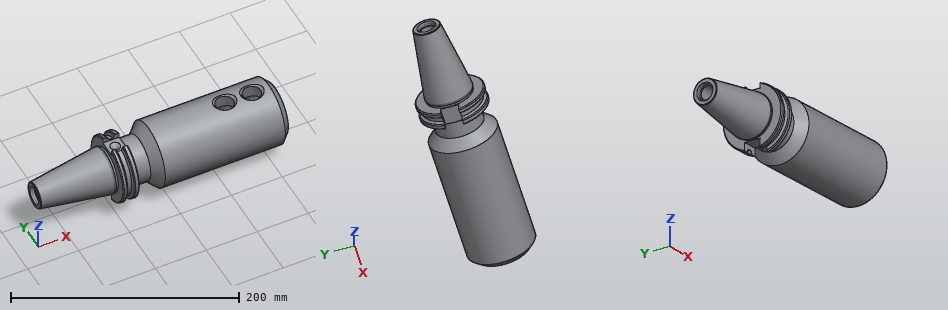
import cadquery as cq

total_length = 236.6
taper_end = 67.7
relief_start = 69.0
flange_start = 71.5
flange_end = 87.5
neck_end = 103.2
body_start = 112.6
body_chamfer_start = 230.5

nose_diameter = 25.3
taper_diameter = 44.5
relief_diameter = 43.5
body_diameter = 63.5
front_diameter = 51.0
nose_chamfer = 0.7

flange_edge_chamfer = 1.0
groove_diameter = 56.3
groove_floor_start = 77.5
groove_floor_end = 81.5
groove_side_run = 1.0
groove_mouth_start = 76.0
groove_mouth_end = 82.5

slot_width = 16.5
upper_slot_height = 25.3
lower_slot_height = taper_diameter / 2
dimple_diameter = 9.5
dimple_depth = 2.8

through_diameter = 13.5
counterbore_diameter = 16.3
counterbore_depth = 4.0
nose_mouth_diameter = 17.3
nose_taper_depth = 2.0
shank_bore_diameter = 38.0
shank_bore_mouth_diameter = 39.3
shank_bore_depth = 78.0

screw_positions = (187.0, 213.7)
screw_diameter = 17.3
screw_mouth_diameter = 22.0


def revolved_about_x(profile):
    """Revolve (x, diameter) points, closed along the X axis."""
    points = [(x, diameter / 2) for x, diameter in profile]
    points = [(points[0][0], 0)] + points + [(points[-1][0], 0)]
    return cq.Workplane("XY").polyline(points).close().revolve(360, (0, 0, 0), (1, 0, 0))


def outer_body():
    flange_edge_diameter = body_diameter - 2 * flange_edge_chamfer
    return revolved_about_x([
        (0, nose_diameter - 2 * nose_chamfer),
        (nose_chamfer, nose_diameter),
        (taper_end, taper_diameter),
        (relief_start, taper_diameter),
        (relief_start + (taper_diameter - relief_diameter) / 2, relief_diameter),
        (flange_start, relief_diameter),
        (flange_start, flange_edge_diameter),
        (flange_start + flange_edge_chamfer, body_diameter),
        (groove_mouth_start - groove_side_run, body_diameter),
        (groove_mouth_start, flange_edge_diameter),
        (groove_floor_start, groove_diameter),
        (groove_floor_end, groove_diameter),
        (groove_mouth_end, flange_edge_diameter),
        (groove_mouth_end + groove_side_run, body_diameter),
        (flange_end - flange_edge_chamfer, body_diameter),
        (flange_end, flange_edge_diameter),
        (flange_end, taper_diameter),
        (neck_end, taper_diameter),
        (body_start, body_diameter),
        (body_chamfer_start, body_diameter),
        (total_length, front_diameter),
    ])


def axial_bores():
    bore_start = total_length - shank_bore_depth
    mouth_chamfer = (shank_bore_mouth_diameter - shank_bore_diameter) / 2
    return revolved_about_x([
        (0, nose_mouth_diameter),
        (nose_taper_depth, counterbore_diameter),
        (counterbore_depth, counterbore_diameter),
        (counterbore_depth, through_diameter),
        (bore_start, through_diameter),
        (bore_start, shank_bore_diameter),
        (total_length - mouth_chamfer, shank_bore_diameter),
        (total_length, shank_bore_mouth_diameter),
    ])


def drive_slot(floor_height, direction):
    """Box beyond floor_height on the +Z (direction 1) or -Z (direction -1) side."""
    depth = body_diameter / 2 - floor_height
    return (
        cq.Workplane("XY")
        .box(flange_end - flange_start, slot_width, depth)
        .translate(((flange_start + flange_end) / 2, 0, direction * (floor_height + depth / 2)))
    )


def dimple():
    """Conical dimple in the floor of the upper drive slot."""
    cone = cq.Solid.makeCone(
        0, dimple_diameter / 2, dimple_depth,
        pnt=cq.Vector((flange_start + flange_end) / 2, 0, upper_slot_height - dimple_depth),
    )
    return cq.Workplane(cone)


def screw_hole(x):
    """Radial hole into the shank bore, with a 45 degree countersink."""
    top = body_diameter / 2
    sink_depth = (screw_mouth_diameter - screw_diameter) / 2
    hole = cq.Workplane("XY").center(x, 0).circle(screw_diameter / 2).extrude(top)
    countersink = cq.Solid.makeCone(
        screw_diameter / 2, screw_mouth_diameter / 2, sink_depth,
        pnt=cq.Vector(x, 0, top - sink_depth),
    )
    return hole.union(cq.Workplane(countersink))


result = outer_body().cut(axial_bores())
result = result.cut(drive_slot(upper_slot_height, 1))
result = result.cut(drive_slot(lower_slot_height, -1))
result = result.cut(dimple())
for screw_x in screw_positions:
    result = result.cut(screw_hole(screw_x))